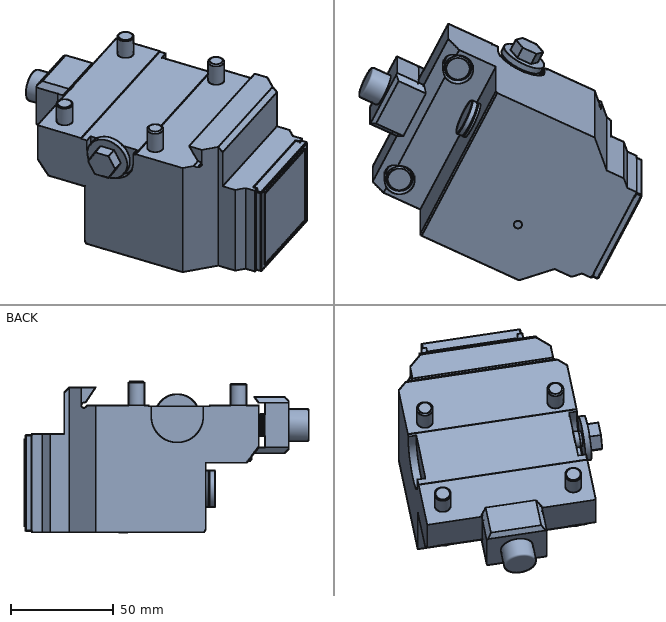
import cadquery as cq
import math


block_half_width = 42.0
block_height = 62.25
ledge_x = 26.0
ledge_z = 34.0
nose_chamfer_x = 6.0
nose_chamfer_z = 8.0
bottom_chamfer_x = 0.8
bottom_chamfer_z = 1.4
taper_start_x = 80.0
taper_end_x = 93.0
neck_half_width = block_half_width - (taper_end_x - taper_start_x)

housing_height = 48.25
housing_taper_x = 102.3
housing_taper_run = 3.8
housing_end_x = 111.2
housing_end_half_width = neck_half_width - housing_taper_run

hook_top_z = 71.0
hook_half_width = 35.0
hook_back_x = 95.4
hook_chamfer = hook_back_x - taper_end_x
hook_lip_x = 84.8
hook_lip_z = 63.7
relief_radius = 1.25
relief_x = taper_start_x + block_half_width - hook_half_width - relief_radius
relief_z = block_height
groove_start_x = 84.0
groove_floor_x = 85.4

cover_inset = 0.5
cover_gap = 0.4
cover_end_x = 114.55
cover_chamfer = 0.5
cover_slot_x = 109.0
cover_slot_half_width = 22.6
overall_end_x = 115.0
overall_length = 139.45
panel_half_width = 21.5
panel_z_low = 3.0
panel_z_high = 45.6

channel_x = 39.0
channel_width = 30.0
channel_depth = 0.4
pivot_x = 40.0
pivot_z = 56.75
pocket_diameter = 25.5
pocket_depth = 4.0

bolt_shank_diameter = 8.0
bolt_neck_diameter = 7.5
bolt_neck_length = 1.2
bolt_washer_diameter = 22.0
bolt_washer_thickness = 3.0
bolt_hex_flats = 13.0
bolt_hex_length = 6.0

front_screw_x = 10.0
screw_rows = [(front_screw_x, 72.7, 0.5), (60.0, 74.0, 0.8)]
screw_y = 32.5
screw_diameter = 8.0
counterbore_diameter = 15.0
counterbore_depth = 8.6
screw_head_diameter = 13.0
screw_head_bottom_z = 34.9
screw_head_chamfer = 0.8

clamp_left_x = -14.7
clamp_web_x = -2.9
clamp_tip_x = 2.3
clamp_lip_height = 2.9
clamp_z = 52.5
clamp_half_height = 13.8
clamp_half_width = 15.0
clamp_side_chamfer = 2.5
clamp_face_chamfer = 2.1
clamp_head_length = overall_length - overall_end_x + clamp_left_x
clamp_head_diameter = 16.0
clamp_head_fillet = 0.9
clamp_shank_diameter = 10.0
clamp_ring_diameter = 11.0
clamp_ring_width = 1.2
clamp_ring_count = 2
clamp_ring_chamfer = 0.3

plug_diameter = 18.0
plug_y = -16.0
plug_z = 21.3
plug_collar_x = 24.5
plug_end_x = 21.4
plug_chamfer = 0.3

pad_x = 66.5
pad_y = 15.8
pad_diameter = 4.0
pad_thickness = 0.24


def box(x0, x1, y0, y1, z0, z1):
    """Box between opposite corners."""
    return cq.Workplane("XY").box(x1 - x0, y1 - y0, z1 - z0, centered=False).translate((x0, y0, z0))


def cylinder_x(x0, x1, y, z, diameter):
    """Round bar along X."""
    return cq.Workplane("YZ", origin=(x0, y, z)).circle(diameter / 2).extrude(x1 - x0)


def cylinder_z(z0, z1, x, y, diameter):
    """Round bar along Z."""
    return cq.Workplane("XY", origin=(x, y, z0)).circle(diameter / 2).extrude(z1 - z0)


def side_prism(profile, half_width):
    """Extrude an XZ outline symmetrically about the mid plane."""
    return profile.extrude(half_width, both=True)


def make_block():
    block = side_prism(
        cq.Workplane("XZ")
        .moveTo(0, block_height)
        .lineTo(0, ledge_z + nose_chamfer_z)
        .lineTo(nose_chamfer_x, ledge_z)
        .lineTo(ledge_x, ledge_z)
        .lineTo(ledge_x, bottom_chamfer_z)
        .lineTo(ledge_x + bottom_chamfer_x, 0)
        .lineTo(housing_end_x, 0)
        .lineTo(housing_end_x, housing_height)
        .lineTo(hook_back_x, housing_height)
        .lineTo(hook_back_x, block_height)
        .close(),
        block_half_width,
    )
    groove = side_prism(
        cq.Workplane("XZ")
        .moveTo(groove_start_x, block_height)
        .lineTo(groove_floor_x, relief_z - relief_radius)
        .lineTo(relief_x, relief_z - relief_radius)
        .threePointArc((relief_x + relief_radius, relief_z), (relief_x, relief_z + relief_radius))
        .close(),
        block_half_width,
    )
    return block.cut(groove)


def make_hook():
    return side_prism(
        cq.Workplane("XZ")
        .moveTo(taper_start_x, hook_top_z)
        .lineTo(hook_back_x - hook_chamfer, hook_top_z)
        .lineTo(hook_back_x, hook_top_z - hook_chamfer)
        .lineTo(hook_back_x, block_height)
        .lineTo(relief_x + relief_radius, relief_z)
        .threePointArc(
            (
                relief_x + relief_radius * math.cos(math.pi / 4),
                relief_z + relief_radius * math.sin(math.pi / 4),
            ),
            (relief_x, relief_z + relief_radius),
        )
        .lineTo(hook_lip_x, hook_lip_z)
        .close(),
        hook_half_width,
    )


def make_plan_envelope():
    """Plan outline of the block and the tapered rear, taller than everything in it."""
    half_outline = [
        (0, block_half_width),
        (taper_start_x, block_half_width),
        (taper_end_x, neck_half_width),
        (housing_taper_x, neck_half_width),
        (housing_taper_x + housing_taper_run, housing_end_half_width),
        (housing_end_x, housing_end_half_width),
    ]
    mirrored = [(x, -y) for x, y in reversed(half_outline)]
    return cq.Workplane("XY").polyline(half_outline + mirrored).close().extrude(hook_top_z)


def make_cover():
    """Plate behind a narrow gap, joined by a tongue, with a thin raised panel on its face."""
    half_width = housing_end_half_width - cover_inset
    top_z = housing_height - cover_inset
    plate_x = housing_end_x + cover_gap
    plate = box(plate_x, cover_end_x, -half_width, half_width, cover_inset, top_z)
    plate = plate.edges("|X or >X").chamfer(cover_chamfer)
    tongue = box(cover_slot_x, plate_x, -cover_slot_half_width, cover_slot_half_width, cover_inset, top_z)
    panel = box(cover_end_x, overall_end_x, -panel_half_width, panel_half_width, panel_z_low, panel_z_high)
    return plate.union(tongue).union(panel)


def cut_cover_slot(body):
    half_width = cover_slot_half_width
    return body.cut(box(cover_slot_x, housing_end_x, -half_width, half_width, cover_inset, housing_height))


def cut_channel(body):
    x0 = channel_x - channel_width / 2
    floor_z = block_height - channel_depth
    return body.cut(
        box(x0, x0 + channel_width, -block_half_width, block_half_width, floor_z, block_height)
    )


def cut_side_pockets(body):
    """U-shaped pocket on each side, round at the bottom and open at the top."""
    radius = pocket_diameter / 2
    pocket = (
        cq.Workplane("XZ", origin=(pivot_x, -block_half_width + pocket_depth, 0))
        .moveTo(-radius, block_height)
        .lineTo(-radius, pivot_z)
        .threePointArc((0, pivot_z - radius), (radius, pivot_z))
        .lineTo(radius, block_height)
        .close()
        .extrude(pocket_depth)
    )
    return body.cut(pocket).cut(pocket.mirror("XZ"))


def make_side_bolt():
    def axis_plane(y):
        return cq.Workplane("XZ", origin=(pivot_x, y, pivot_z))

    face_y = -block_half_width
    hex_corners = bolt_hex_flats / math.cos(math.pi / 6)
    shank_length = pocket_depth - bolt_neck_length
    shank = axis_plane(face_y + pocket_depth).circle(bolt_shank_diameter / 2).extrude(shank_length)
    neck = axis_plane(face_y + bolt_neck_length).circle(bolt_neck_diameter / 2).extrude(bolt_neck_length)
    washer = axis_plane(face_y).circle(bolt_washer_diameter / 2).extrude(bolt_washer_thickness)
    head = axis_plane(face_y - bolt_washer_thickness).polygon(6, hex_corners).extrude(bolt_hex_length)
    return shank.union(neck).union(washer).union(head)


def add_screws(body):
    floor_z = ledge_z + counterbore_depth
    for side in (-1, 1):
        y = side * screw_y
        body = body.cut(cylinder_z(ledge_z, floor_z, front_screw_x, y, counterbore_diameter))
        head = cylinder_z(screw_head_bottom_z, floor_z, front_screw_x, y, screw_head_diameter)
        body = body.union(head.faces("<Z").chamfer(screw_head_chamfer))
        for x, tip_z, tip_chamfer in screw_rows:
            tip = cylinder_z(block_height, tip_z, x, y, screw_diameter)
            body = body.union(tip.faces(">Z").chamfer(tip_chamfer))
    return body


def make_clamp():
    """Jaw with a sloped lip at the top and bottom, the lower one parallel to the nose chamfer."""
    top_z = clamp_z + clamp_half_height
    bottom_z = clamp_z - clamp_half_height
    lip_run = clamp_lip_height * nose_chamfer_x / nose_chamfer_z
    jaw = side_prism(
        cq.Workplane("XZ")
        .moveTo(clamp_left_x + clamp_face_chamfer, top_z)
        .lineTo(clamp_tip_x, top_z)
        .lineTo(clamp_tip_x - lip_run, top_z - clamp_lip_height)
        .lineTo(clamp_web_x, top_z - clamp_lip_height)
        .lineTo(clamp_web_x, bottom_z + clamp_lip_height)
        .lineTo(clamp_tip_x - lip_run, bottom_z + clamp_lip_height)
        .lineTo(clamp_tip_x, bottom_z)
        .lineTo(clamp_left_x + clamp_face_chamfer, bottom_z)
        .lineTo(clamp_left_x, bottom_z + clamp_face_chamfer)
        .lineTo(clamp_left_x, top_z - clamp_face_chamfer)
        .close(),
        clamp_half_width,
    )
    flat_half_width = clamp_half_width - clamp_side_chamfer
    side_half_height = clamp_half_height - clamp_lip_height
    octagon = [
        (flat_half_width, clamp_half_height),
        (clamp_half_width, side_half_height),
        (clamp_half_width, -side_half_height),
        (flat_half_width, -clamp_half_height),
    ]
    mirrored = [(-y, z) for y, z in reversed(octagon)]
    envelope = (
        cq.Workplane("YZ", origin=(clamp_left_x, 0, clamp_z))
        .polyline(octagon + mirrored)
        .close()
        .extrude(clamp_tip_x - clamp_left_x)
    )
    return jaw.intersect(envelope)


def make_clamp_screw():
    head = cylinder_x(clamp_left_x - clamp_head_length, clamp_left_x, 0, clamp_z, clamp_head_diameter)
    head = head.faces("<X").edges().fillet(clamp_head_fillet)
    shank = cylinder_x(clamp_web_x, 0, 0, clamp_z, clamp_shank_diameter)
    screw = head.union(shank)
    for index in range(clamp_ring_count):
        start_x = clamp_web_x + index * clamp_ring_width
        ring = cylinder_x(start_x, start_x + clamp_ring_width, 0, clamp_z, clamp_ring_diameter)
        screw = screw.union(ring.faces("<X or >X").chamfer(clamp_ring_chamfer))
    return screw


def make_plug():
    collar = cylinder_x(plug_collar_x, ledge_x, plug_y, plug_z, plug_diameter)
    cap = cylinder_x(plug_end_x, plug_collar_x, plug_y, plug_z, plug_diameter)
    return collar.faces("<X").chamfer(plug_chamfer).union(cap.faces("<X or >X").chamfer(plug_chamfer))


body = make_block().union(make_hook()).intersect(make_plan_envelope())
body = cut_cover_slot(body)
body = cut_channel(body)
body = cut_side_pockets(body)
body = add_screws(body)

attachments = [
    make_cover(),
    make_side_bolt(),
    make_clamp(),
    make_clamp_screw(),
    make_plug(),
    cylinder_z(-pad_thickness, 0, pad_x, pad_y, pad_diameter),
]
for attachment in attachments:
    body = body.union(attachment)

result = body